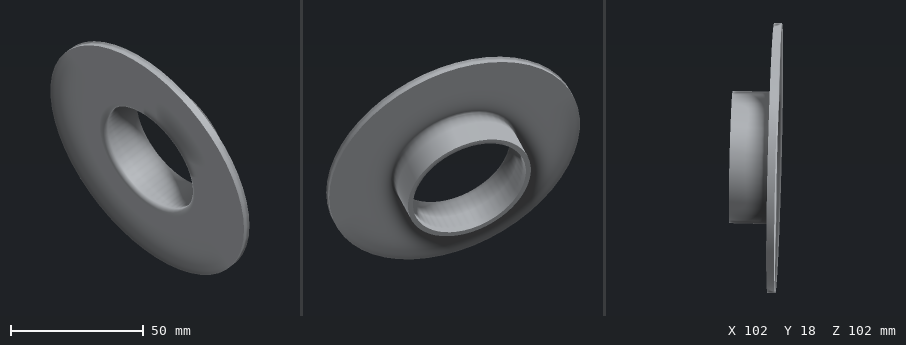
import cadquery as cq
import math

flange_diameter = 102.0
flange_thickness = 3.0
collar_diameter = 50.0
wall_thickness = 2.0
overall_depth = 18.0
mouth_radius = 2.0
root_radius = 0.8

flange_radius = flange_diameter / 2
collar_radius = collar_diameter / 2
bore_radius = collar_radius - wall_thickness


def arc_middle(center_x, center_y, radius):
    """Middle of the quarter arc on the side of its center facing -X and -Y."""
    offset = radius * math.sqrt(0.5)
    return (center_x - offset, center_y - offset)


mouth_middle = arc_middle(bore_radius + mouth_radius, mouth_radius, mouth_radius)
root_middle = arc_middle(collar_radius + root_radius, flange_thickness + root_radius, root_radius)

half_section = (
    cq.Workplane("XY")
    .moveTo(bore_radius + mouth_radius, 0)
    .lineTo(flange_radius, 0)
    .lineTo(flange_radius, flange_thickness)
    .lineTo(collar_radius + root_radius, flange_thickness)
    .threePointArc(root_middle, (collar_radius, flange_thickness + root_radius))
    .lineTo(collar_radius, overall_depth)
    .lineTo(bore_radius, overall_depth)
    .lineTo(bore_radius, mouth_radius)
    .threePointArc(mouth_middle, (bore_radius + mouth_radius, 0))
    .close()
)

result = half_section.revolve(360, (0, 0, 0), (0, 1, 0))